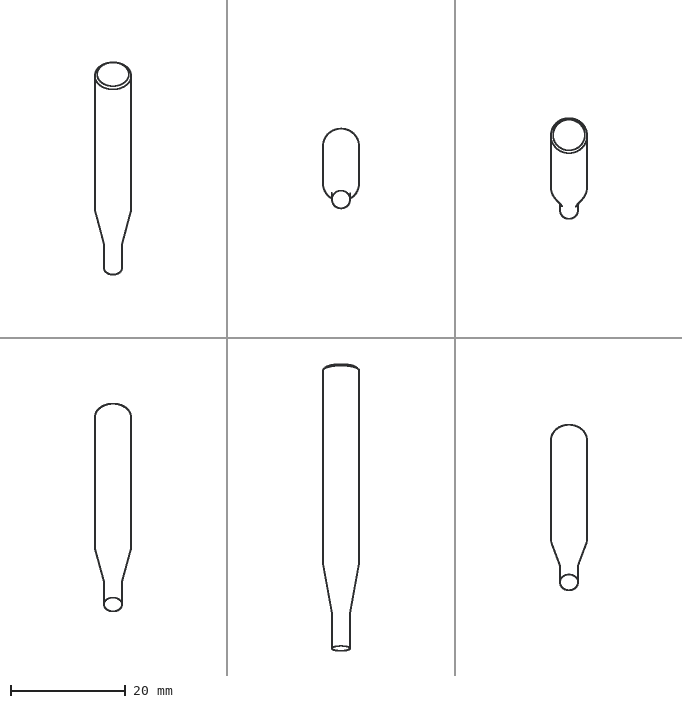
import cadquery as cq

total_length = 50.8
shank_diameter = 6.35
tip_diameter = shank_diameter / 2
tip_length = 6.35
taper_length = 9.1
chamfer_size = 0.4

shank_radius = shank_diameter / 2
tip_radius = tip_diameter / 2
taper_top = tip_length + taper_length

half_section = (
    cq.Workplane("XZ")
    .moveTo(0, 0)
    .lineTo(tip_radius, 0)
    .lineTo(tip_radius, tip_length)
    .lineTo(shank_radius, taper_top)
    .lineTo(shank_radius, total_length - chamfer_size)
    .lineTo(shank_radius - chamfer_size, total_length)
    .lineTo(0, total_length)
    .close()
)

result = half_section.revolve(360, (0, 0, 0), (0, 1, 0))